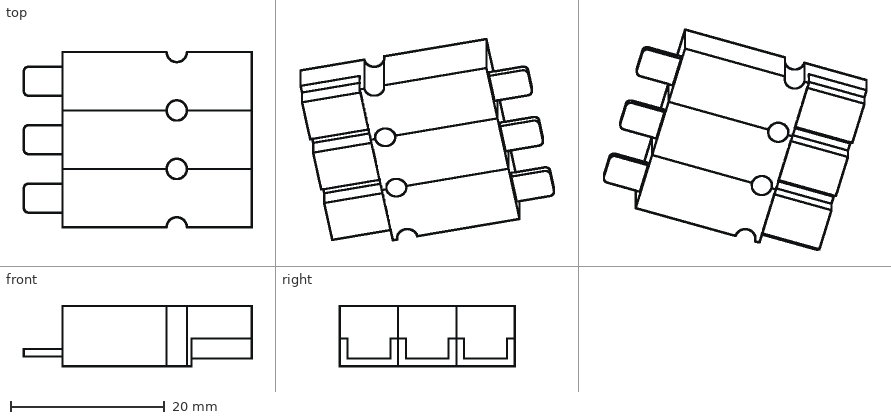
import cadquery as cq

total_length = 29.72
total_width = 22.85
height = 7.88
module_count = 3
module_pitch = total_width / module_count

tab_length = 5.05
tab_width = 3.8
tab_thickness = 1.0
tab_bottom = 1.28
tab_corner_radius = 0.65

block_length = total_length - tab_length
notch_diameter = 2.62
notch_x = 19.95

step_length = 7.85
step_height = 3.65
tongue_bottom = 1.0
tongue_side_inset = 1.0
step_x = total_length - step_length
tongue_width = module_pitch - 2 * tongue_side_inset


def box_from(x, z, length, width, box_height):
    """Box centred in Y with its low X face at x and its underside at z."""
    return (
        cq.Workplane("XY")
        .box(length, width, box_height, centered=(False, True, False))
        .translate((x, 0, z))
    )


def make_block():
    """Stepped block with a half-round notch down each side."""
    block = box_from(tab_length, 0, block_length, module_pitch, height)
    step = box_from(step_x, 0, step_length, module_pitch, step_height)
    notches = (
        cq.Workplane("XY")
        .pushPoints([(notch_x, side * module_pitch / 2) for side in (-1, 1)])
        .circle(notch_diameter / 2)
        .extrude(height)
    )
    return block.cut(step).cut(notches)


def make_tongue():
    """Tongue filling the middle of the step, down to just above the base."""
    return box_from(step_x, tongue_bottom, step_length, tongue_width, step_height - tongue_bottom)


def make_tab():
    """Flat tab with rounded corners at its free end."""
    tab = box_from(0, tab_bottom, tab_length, tab_width, tab_thickness)
    return tab.faces("<X").edges("|Z").fillet(tab_corner_radius)


def make_module(center_y):
    """One complete module: block, tongue and tab in a single solid."""
    module = make_block().union(make_tongue()).union(make_tab())
    return module.translate((0, center_y, 0))


modules = []
for index in range(module_count):
    center_y = (index - (module_count - 1) / 2) * module_pitch
    modules.append(make_module(center_y))

result = cq.Compound.makeCompound([module.solids().val() for module in modules])